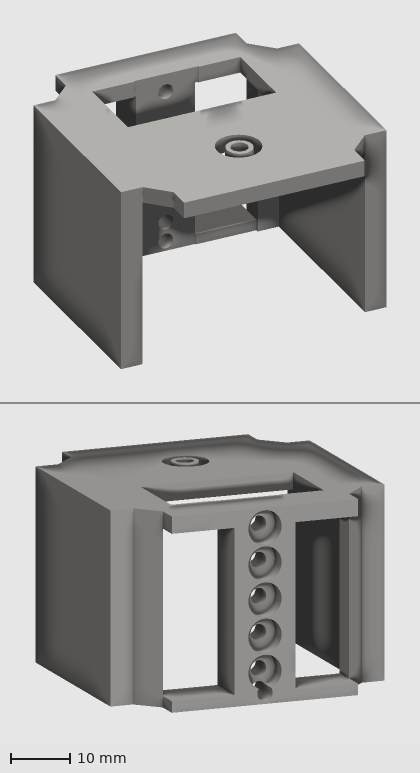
import cadquery as cq

span = 49.7
height = 34.0
plate_thickness = 3.0
shelf_thickness = 2.0

corner_notch = 7.95
corner_bevel = 3.9
side_wall_thickness = 4.05
corner_web = 0.5
half_span = span / 2
half_flat = half_span - corner_notch
bevel_start = half_flat + corner_bevel
chamber_width = span - 2 * side_wall_thickness

pillar_width = 11.05
plate_relief_width = 12.05
relief_depth = 0.2
small_hole_diameter = 2.8
counterbore_diameter = 6.0
counterbore_depth = 3.0
hole_count = 5
hole_pitch = 6.25
lowest_hole_z = 5.5
drain_hole_z = 1.9

slot_length = 13.8
slot_width = 27.75
round_opening_diameter = 8.0
round_opening_x = 11.05

sleeve_x = 11.4
sleeve_bottom_diameter = 5.1
sleeve_top_diameter = 4.75
sleeve_bore_diameter = 3.1

plate_bottom = height - plate_thickness


def block(x_min, x_max, y_width, z_min, z_max):
    """Box symmetric about Y = 0."""
    return (
        cq.Workplane("XY")
        .box(x_max - x_min, y_width, z_max - z_min, centered=(False, True, False))
        .translate((x_min, 0, z_min))
    )


def cross_prism(z_min, z_max):
    """Cross outline extruded between two heights."""
    quarter = [
        (half_span, half_flat),
        (bevel_start, half_flat),
        (half_flat, bevel_start),
        (half_flat, half_span),
    ]
    mirrored = [(-x, y) for x, y in reversed(quarter)]
    upper_half = quarter + mirrored
    lower_half = [(-x, -y) for x, y in upper_half]
    return (
        cq.Workplane("XY", origin=(0, 0, z_min))
        .polyline(upper_half + lower_half)
        .close()
        .extrude(z_max - z_min)
    )


def wall_hole(diameter, z, depth):
    """Cylinder running along +X from the outer face of the pillar."""
    return (
        cq.Workplane("YZ", origin=(-half_span, 0, z))
        .circle(diameter / 2)
        .extrude(depth)
    )


def vertical_cylinder(diameter, x):
    """Cylinder through the thickness of the top plate."""
    return (
        cq.Workplane("XY", origin=(x, 0, plate_bottom))
        .circle(diameter / 2)
        .extrude(plate_thickness)
    )


def make_housing():
    body = cross_prism(0, height)

    body = body.cut(block(-half_flat, half_span, 2 * half_flat, 0, plate_bottom))
    body = body.cut(block(corner_web - half_flat, half_span, chamber_width, 0, plate_bottom))
    body = body.cut(block(half_flat, half_span, span, 0, plate_bottom))

    windows = block(-half_span, -half_flat, 2 * half_flat, shelf_thickness, plate_bottom)
    windows = windows.cut(block(-half_span, -half_flat, pillar_width, 0, height))
    body = body.cut(windows)

    body = body.cut(block(-half_flat, slot_length - half_flat, slot_width, plate_bottom, height))
    body = body.cut(vertical_cylinder(round_opening_diameter, round_opening_x))

    relief_x = -half_flat - relief_depth
    body = body.cut(block(relief_x, -half_flat, pillar_width, 0, plate_bottom))
    body = body.cut(block(relief_x, -half_flat, plate_relief_width, plate_bottom, height))

    for index in range(hole_count):
        z = lowest_hole_z + index * hole_pitch
        body = body.cut(wall_hole(small_hole_diameter, z, corner_notch))
        body = body.cut(wall_hole(counterbore_diameter, z, counterbore_depth))
    return body.cut(wall_hole(small_hole_diameter, drain_hole_z, corner_notch))


def make_sleeve():
    outer = (
        cq.Workplane("XY", origin=(sleeve_x, 0, plate_bottom))
        .circle(sleeve_bottom_diameter / 2)
        .workplane(offset=plate_thickness)
        .circle(sleeve_top_diameter / 2)
        .loft()
    )
    return outer.cut(vertical_cylinder(sleeve_bore_diameter, sleeve_x))


housing = make_housing()
sleeve = make_sleeve()
result = cq.Compound.makeCompound([housing.val(), sleeve.val()])